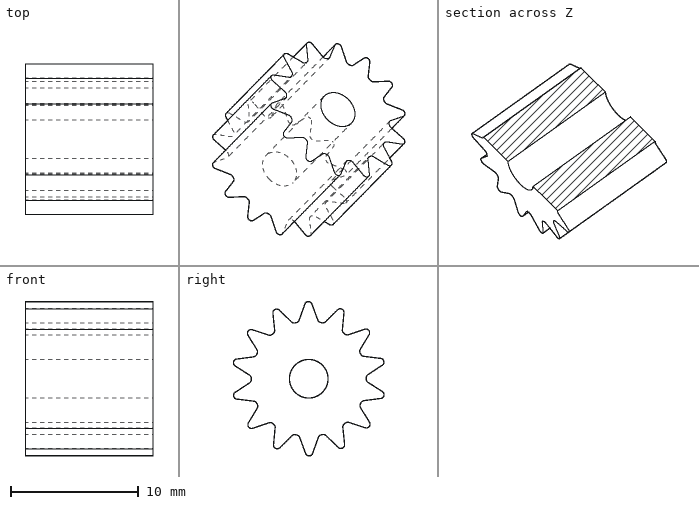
import cadquery as cq
import math

face_width = 10.0
bore_diameter = 3.0
tooth_count = 14
tip_radius = 6.035
root_radius = 4.5
tip_round = 0.3
root_fillet = 0.3
root_land = 0.093
rotation_angle = 0.27

pitch = 2 * math.pi / tooth_count
tip_center_radius = tip_radius - tip_round
fillet_center_radius = root_radius + root_fillet
land_angle = (pitch - root_land / root_radius) / 2


def polar(radius, angle):
    """Point in the YZ plane, with the angle measured from +Z toward +Y."""
    return (radius * math.sin(angle), radius * math.cos(angle))


def to_polar(point):
    """Radius and angle of a point in the YZ plane, the inverse of polar()."""
    y, z = point
    return (math.hypot(y, z), math.atan2(y, z))


def offset(point, distance, angle):
    """Point moved by a distance along a direction measured from +Z toward +Y."""
    step_y, step_z = polar(distance, angle)
    return (point[0] + step_y, point[1] + step_z)


def flank_points():
    """Ends of the straight flank and the middle of its root fillet.

    The tooth is centered on angle zero; each point is a (radius, angle) pair.
    """
    tip_center = polar(tip_center_radius, 0)
    fillet_center = polar(fillet_center_radius, land_angle)
    center_line = (fillet_center[0] - tip_center[0], fillet_center[1] - tip_center[1])
    center_distance, center_angle = to_polar(center_line)

    normal_angle = center_angle - math.acos((tip_round + root_fillet) / center_distance)
    outer_end = offset(tip_center, tip_round, normal_angle)
    inner_end = offset(fillet_center, -root_fillet, normal_angle)
    fillet_middle = offset(fillet_center, -root_fillet, (normal_angle + land_angle) / 2)
    return to_polar(outer_end), to_polar(inner_end), to_polar(fillet_middle)


def gear_outline():
    """Closed tooth outline in the YZ plane, built tooth by tooth."""
    outer_end, inner_end, fillet_middle = flank_points()
    land_edge = (root_radius, land_angle)

    def leading(point, middle):
        return polar(point[0], middle - point[1])

    def trailing(point, middle):
        return polar(point[0], middle + point[1])

    outline = cq.Workplane("YZ").moveTo(*leading(land_edge, 0))
    for tooth in range(tooth_count):
        middle = tooth * pitch
        gap_middle = middle + pitch / 2
        next_middle = middle + pitch
        outline = (
            outline
            .threePointArc(leading(fillet_middle, middle), leading(inner_end, middle))
            .lineTo(*leading(outer_end, middle))
            .threePointArc(polar(tip_radius, middle), trailing(outer_end, middle))
            .lineTo(*trailing(inner_end, middle))
            .threePointArc(trailing(fillet_middle, middle), trailing(land_edge, middle))
            .threePointArc(polar(root_radius, gap_middle), leading(land_edge, next_middle))
        )
    return outline.close()


def gear_body():
    """Toothed body centered along X, turned to its angular position."""
    body = gear_outline().extrude(face_width / 2, both=True)
    return body.rotate((0, 0, 0), (1, 0, 0), rotation_angle)


def bore():
    """Cylinder that cuts the through bore along X."""
    return cq.Workplane("YZ").circle(bore_diameter / 2).extrude(face_width / 2, both=True)


result = gear_body().cut(bore())